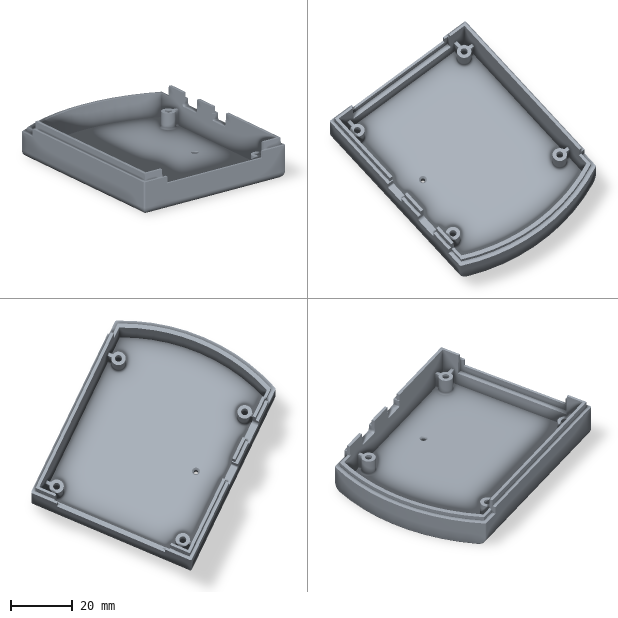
import cadquery as cq
import math

LENGTH = 72.9
WIDTH = 56.95
HEIGHT = 14.0
HALF_WIDTH = WIDTH / 2

BOW_DEPTH = 6.6
BOW_RADIUS = (BOW_DEPTH**2 + HALF_WIDTH**2) / (2 * BOW_DEPTH)
BASE_FILLET = 2.6
EDGE_FILLET = 0.5
SHELF_Z = 11.6
LOW_SHELF_Z = 8.9
LOW_LIP_Z = 10.3
STEP_X = 12.55

LIP_INSET = 1.1
LIP_END_DRAFT = 0.2
LOW_LIP_SIDE_INSET = 1.3
LOW_LIP_BOW_INSET = 1.5

FLOOR_Z = 2.2
WALL_TOP = 2.1
WALL_FLOOR = 2.6
BOW_WALL_TOP = 2.8
BOW_WALL_FLOOR = 3.3

BOSS_X = (17.65, 66.15)
BOSS_Y = 22.4
BOSS_RADIUS = 2.3
BOSS_FILLET = 0.6
BOSS_TOP_Z = 7.7
SCREW_HOLE_DIAMETER = 2.25
RIB_WIDTH = 1.2
RIB_ROOT = 1.75

PIN_HOLE_CENTER = (41.0, 15.7)
PIN_HOLE_DIAMETER = 1.45
PIN_HOLE_MOUTH = 2.6

SELECT_MARGIN = 0.1

NOTCH_FLOOR_Z = 9.25
WIDE_NOTCH = (20.1, 27.9)
WIDE_NOTCH_FILLET = 0.9
NARROW_NOTCH = (36.4, 43.3)
NARROW_NOTCH_FILLET = 0.45
NARROW_NOTCH_RELIEF = 0.3

LEDGE_Z = 6.7
LEDGE_HALF_WIDTH = 20.4
PANEL_WALL = 0.8
WINDOW_Z = 9.2
WINDOW_HALF_WIDTH = 19.2


def outline(z, bow_inset, side_inset, end_inset):
    """Plan outline at height z: a rectangle with one end bowed outwards."""
    half = HALF_WIDTH - side_inset
    corner_x = BOW_RADIUS - math.sqrt((BOW_RADIUS - bow_inset) ** 2 - half**2)
    end_x = LENGTH - end_inset
    return (
        cq.Workplane("XY", origin=(0, 0, z))
        .moveTo(corner_x, -half)
        .lineTo(end_x, -half)
        .lineTo(end_x, half)
        .lineTo(corner_x, half)
        .threePointArc((bow_inset, 0), (corner_x, -half))
        .close()
    )


def drafted(lower, upper):
    """Solid between two outlines at different heights."""
    wires = [lower.wire().val(), upper.wire().val()]
    return cq.Workplane(obj=cq.Solid.makeLoft(wires, True))


def block(x, y, z):
    """Box from (min, max) pairs along each axis."""
    return cq.Workplane("XY").box(
        x[1] - x[0], y[1] - y[0], z[1] - z[0], centered=False
    ).translate((x[0], y[0], z[0]))


def rounded_shell():
    """Solid outer form, rounded along the base and at the vertical corners."""
    shell = outline(0, 0, 0, 0).extrude(HEIGHT)
    shell = shell.faces("<Z").edges("%LINE").fillet(BASE_FILLET)
    bow_edges = shell.faces("<X").edges("not >Z")
    end_corners = shell.faces(">X").edges("|Z")
    return bow_edges.add(end_corners).fillet(EDGE_FILLET)


def stepped_rim(shell):
    """Cut the shelves around the high lip and around the low lip at the bow."""
    high_lip = drafted(
        outline(SHELF_Z, 0, LIP_INSET, LIP_INSET),
        outline(HEIGHT, 0, LIP_INSET, LIP_INSET + LIP_END_DRAFT),
    )
    low_lip = outline(
        LOW_SHELF_Z, LOW_LIP_BOW_INSET, LOW_LIP_SIDE_INSET, 0
    ).extrude(LOW_LIP_Z - LOW_SHELF_Z)
    side = (-HALF_WIDTH, HALF_WIDTH)
    high_cut = block((STEP_X, LENGTH), side, (SHELF_Z, HEIGHT)).cut(high_lip)
    low_cut = block((0, STEP_X), side, (LOW_SHELF_Z, HEIGHT)).cut(low_lip)
    return shell.cut(high_cut).cut(low_cut)


def cavity():
    """Interior space above the floor."""
    return drafted(
        outline(FLOOR_Z, BOW_WALL_FLOOR, WALL_FLOOR, WALL_FLOOR),
        outline(HEIGHT, BOW_WALL_TOP, WALL_TOP, WALL_TOP),
    )


def boss(x, side):
    """Screw boss with ribs running to the nearest walls."""
    y = side * BOSS_Y
    half_rib = RIB_WIDTH / 2
    z_range = (FLOOR_Z, BOSS_TOP_Z)
    post = (
        cq.Workplane("XY", origin=(x, y, FLOOR_Z))
        .circle(BOSS_RADIUS)
        .extrude(BOSS_TOP_Z - FLOOR_Z)
    )
    rib_y = sorted((y, side * (HALF_WIDTH - RIB_ROOT)))
    post = post.union(block((x - half_rib, x + half_rib), rib_y, z_range))
    if x == max(BOSS_X):
        rib_x = (x, LENGTH - RIB_ROOT)
        post = post.union(block(rib_x, (y - half_rib, y + half_rib), z_range))
    return post


def floor_box(x_range, y_range):
    """Selector for edges whose centers lie on the floor within a rectangle."""
    return cq.selectors.BoxSelector(
        (x_range[0], y_range[0], FLOOR_Z - SELECT_MARGIN),
        (x_range[1], y_range[1], FLOOR_Z + SELECT_MARGIN),
    )


def with_foot_fillet(body, x, side):
    """Fillet a boss and its ribs into the floor, except in the pocket between two ribs."""
    y = side * BOSS_Y
    wall_x = LENGTH - WALL_FLOOR - SELECT_MARGIN
    wall_y = side * (HALF_WIDTH - WALL_FLOOR - SELECT_MARGIN)
    around_boss = floor_box(
        (x - BOSS_RADIUS, min(x + BOSS_RADIUS + RIB_WIDTH, wall_x)),
        (y - side * BOSS_RADIUS, wall_y),
    )
    foot_edges = body.edges(around_boss)
    if x == max(BOSS_X):
        pocket = floor_box(
            (x + RIB_WIDTH / 4, wall_x),
            (y + side * RIB_WIDTH / 4, wall_y),
        )
        foot_edges = body.edges(around_boss - pocket)
    return foot_edges.fillet(BOSS_FILLET)


def notch(x_range, fillet, relief=0):
    """Cutter with rounded lower corners, widened on each side through the lip by the relief."""
    y_range = (HALF_WIDTH - 2 * WALL_TOP, HALF_WIDTH)
    cutter = block(x_range, y_range, (NOTCH_FLOOR_Z, HEIGHT))
    cutter = cutter.faces("<Z").edges("|Y").fillet(fillet)
    lip_range = (x_range[0] - relief, x_range[1] + relief)
    return cutter.union(block(lip_range, y_range, (SHELF_Z, HEIGHT)))


def end_opening():
    """Ledge for a panel, with a window through the wall behind it."""
    ledge = block(
        (LENGTH - 2 * WALL_FLOOR, LENGTH - PANEL_WALL),
        (-LEDGE_HALF_WIDTH, LEDGE_HALF_WIDTH),
        (LEDGE_Z, HEIGHT),
    )
    window = block(
        (LENGTH - 2 * WALL_FLOOR, LENGTH),
        (-WINDOW_HALF_WIDTH, WINDOW_HALF_WIDTH),
        (WINDOW_Z, HEIGHT),
    )
    return ledge.union(window)


def pin_hole():
    """Through bore with a conical mouth at the floor."""
    bore = PIN_HOLE_DIAMETER / 2
    mouth = PIN_HOLE_MOUTH / 2
    profile = (
        cq.Workplane("XZ")
        .moveTo(0, 0)
        .lineTo(bore, 0)
        .lineTo(bore, FLOOR_Z - (mouth - bore))
        .lineTo(mouth, FLOOR_Z)
        .lineTo(0, FLOOR_Z)
        .close()
    )
    return profile.revolve(360, (0, 0, 0), (0, 1, 0)).translate((*PIN_HOLE_CENTER, 0))


body = stepped_rim(rounded_shell()).cut(cavity())

for boss_x in BOSS_X:
    for boss_side in (-1, 1):
        body = body.union(boss(boss_x, boss_side))
        body = with_foot_fillet(body, boss_x, boss_side)
        screw_hole = (
            cq.Workplane("XY", origin=(boss_x, boss_side * BOSS_Y, 0))
            .circle(SCREW_HOLE_DIAMETER / 2)
            .extrude(BOSS_TOP_Z)
        )
        body = body.cut(screw_hole)

body = body.cut(notch(WIDE_NOTCH, WIDE_NOTCH_FILLET))
body = body.cut(notch(NARROW_NOTCH, NARROW_NOTCH_FILLET, NARROW_NOTCH_RELIEF))
body = body.cut(end_opening()).cut(pin_hole())

result = body